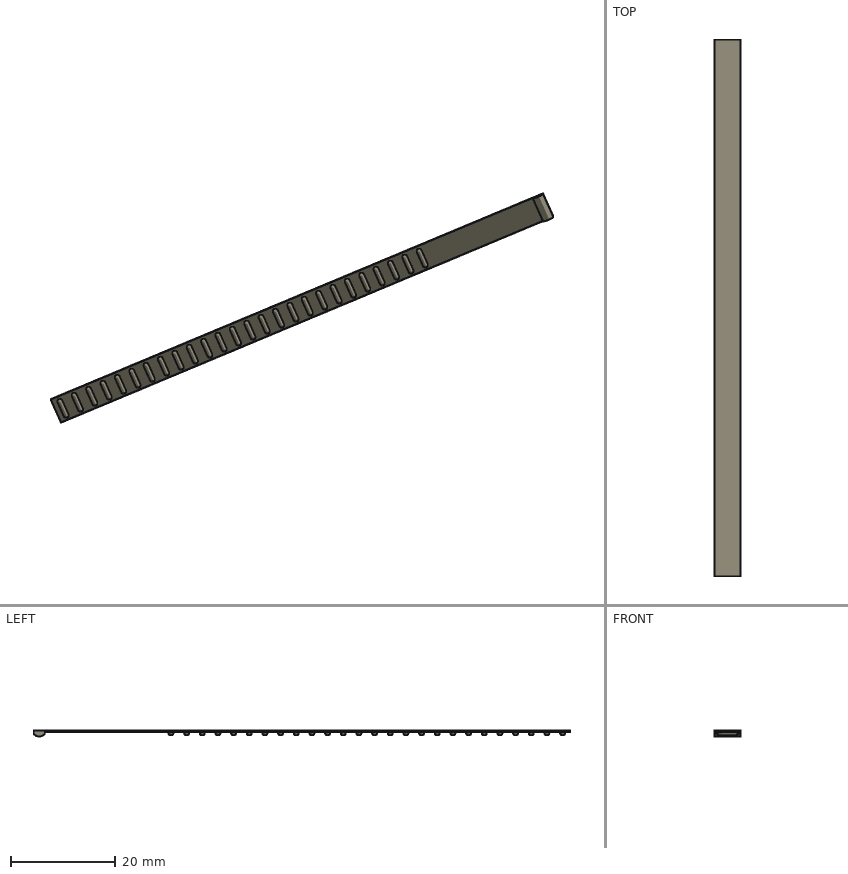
import cadquery as cq

length = 102.8
width = 5.0
height = 1.2
strip_thickness = 0.4
front_y = -length / 2
back_y = length / 2

foot_depth = height - strip_thickness
foot_length = 2.15
foot_side_height = 0.25

rib_count = 26
rib_pitch = 3.0
first_rib_inset = 1.5
rib_radius = 0.5
rib_depth = 0.58
rib_straight_length = 3.0
rib_axis_z = rib_radius - rib_depth


def make_strip():
    return cq.Workplane("XY").box(width, length, strip_thickness, centered=(True, True, False))


def make_foot():
    foot_front_y = back_y - foot_length
    foot_middle_y = back_y - foot_length / 2
    return (
        cq.Workplane("YZ")
        .moveTo(back_y, 0)
        .lineTo(back_y, -foot_side_height)
        .threePointArc((foot_middle_y, -foot_depth), (foot_front_y, -foot_side_height))
        .lineTo(foot_front_y, 0)
        .close()
        .extrude(width / 2, both=True)
    )


def make_rib():
    half_straight = rib_straight_length / 2
    rib = cq.Workplane("YZ").circle(rib_radius).extrude(half_straight, both=True)
    for end_x in (-half_straight, half_straight):
        rib = rib.union(cq.Workplane("XY").sphere(rib_radius).translate((end_x, 0, 0)))
    rib = rib.translate((0, 0, rib_axis_z))

    below_strip = cq.Workplane("XY").box(width, width, height, centered=(True, True, False))
    return rib.intersect(below_strip.translate((0, 0, -height)))


def rib_row():
    rib = make_rib().val()
    first_rib_y = front_y + first_rib_inset
    return [rib.translate(cq.Vector(0, first_rib_y + index * rib_pitch, 0)) for index in range(rib_count)]


body = make_strip().union(make_foot())
result = cq.Workplane(body.val().fuse(*rib_row()).clean())